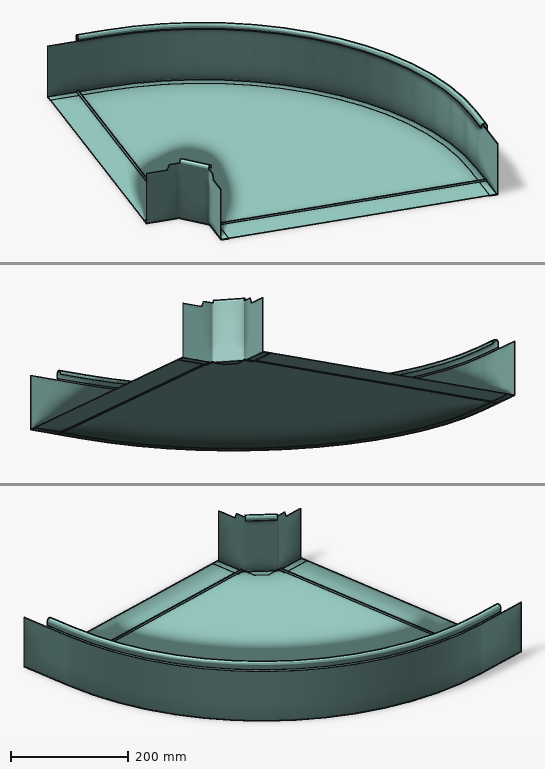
import cadquery as cq
import math


SIZE = 601.5
WIDTH = 503.0
ARM = 102.0
SHEET = 0.9
BEND = 2.5
FLANGE = 15.0
CROWN = 113.0
END_TOP = 97.5

RIM_RADIUS = 5.9
RIM_LIP = 2.5
RIM_SETBACK = 52.0
JOGGLE_RISE = 2.7
JOGGLE_SHIFT = 1.0

INNER_LEG = 58.5
CRANK_RADIUS = 3.0
STEP_FOOT = 37.0
STEP_HEAD = 41.0

RIDGE_AT = 54.0
RIDGE_RADIUS = 2.5

HALF_TURN = math.tan(math.radians(22.5))
TURN_RADIUS = SIZE - ARM
RIM_SPRING = CROWN - RIM_RADIUS
JOGGLE_TOP = END_TOP + JOGGLE_RISE
FLOOR_TOP = 2 * SHEET
LEG_FLAT = INNER_LEG - CRANK_RADIUS * HALF_TURN
CRANK_RUN = SIZE - WIDTH - INNER_LEG
CRANK_FLAT = CRANK_RUN * math.sqrt(2) - 2 * CRANK_RADIUS * HALF_TURN
TALL = 2 * CROWN


def mirrored(shape):
    """Image of a shape in the tray's symmetry plane."""
    return shape.mirror(cq.Vector(1, 1, 0), (SIZE / 2, SIZE / 2, 0))


def section_plane(origin, inward):
    """Upright plane whose local x points into the tray and local y points up."""
    x_dir = cq.Vector(*inward)
    return cq.Plane(origin, x_dir, x_dir.cross(cq.Vector(0, 0, 1)))


def bend_middle(radius):
    """Middle point of a bottom bend of this radius around the common bend centre."""
    reach = BEND - radius * math.sqrt(0.5)
    return (reach, reach)


def foot_outside(plane):
    """Start an outline along the flange underside and the outside of its bend."""
    return (
        cq.Workplane(plane)
        .moveTo(FLANGE, 0)
        .lineTo(BEND, 0)
        .threePointArc(bend_middle(BEND), (0, BEND))
    )


def foot_inside(outline):
    """Close an outline along the inside of the bend and the flange top."""
    return (
        outline.lineTo(SHEET, BEND)
        .threePointArc(bend_middle(BEND - SHEET), (BEND, SHEET))
        .lineTo(FLANGE, SHEET)
        .close()
    )


def rolled_rim(outline, face):
    """Continue an outline from (face, RIM_SPRING) over the roll and back along its inside."""
    centre = face + RIM_RADIUS
    far = face + 2 * RIM_RADIUS
    return (
        outline.threePointArc((centre, CROWN), (far, RIM_SPRING))
        .lineTo(far, RIM_SPRING - RIM_LIP)
        .lineTo(far - SHEET, RIM_SPRING - RIM_LIP)
        .lineTo(far - SHEET, RIM_SPRING)
        .threePointArc((centre, CROWN - SHEET), (face + SHEET, RIM_SPRING))
    )


def outer_section(plane):
    """Flange, wall, joggle and rolled rim of the outer wall."""
    drop = SHEET * math.tan(math.atan2(JOGGLE_SHIFT, JOGGLE_RISE) / 2)
    outside = (
        foot_outside(plane)
        .lineTo(0, END_TOP)
        .lineTo(JOGGLE_SHIFT, JOGGLE_TOP)
        .lineTo(JOGGLE_SHIFT, RIM_SPRING)
    )
    inside = (
        rolled_rim(outside, JOGGLE_SHIFT)
        .lineTo(JOGGLE_SHIFT + SHEET, JOGGLE_TOP - drop)
        .lineTo(SHEET, END_TOP - drop)
    )
    return foot_inside(inside)


def make_outer_wall():
    leg_end = section_plane((0, ARM, 0), (1, 0, 0))
    leg = outer_section(leg_end).extrude(ARM)
    curve = outer_section(leg_end).revolve(90, (TURN_RADIUS, 6), (TURN_RADIUS, 0))
    wall = leg.union(curve).union(mirrored(leg))

    end_cut = (
        cq.Workplane()
        .workplane(offset=END_TOP)
        .rect(ARM, RIM_SETBACK, centered=False)
        .extrude(TALL)
    )
    return wall.cut(end_cut).cut(mirrored(end_cut))


def tray_block(inset, bottom, top):
    """Block over the tray's plan, kept inside the wall faces by inset."""
    right = WIDTH - inset
    front = SIZE - right
    corner = INNER_LEG + inset * HALF_TURN
    radius = TURN_RADIUS - inset
    arc_middle = (TURN_RADIUS - radius * math.sqrt(0.5), ARM + radius * math.sqrt(0.5))
    block = (
        cq.Workplane()
        .workplane(offset=bottom)
        .moveTo(inset, 0)
        .lineTo(right, 0)
        .lineTo(right, corner)
        .lineTo(SIZE - corner, front)
        .lineTo(SIZE, front)
        .lineTo(SIZE, SIZE - inset)
        .lineTo(TURN_RADIUS, SIZE - inset)
        .threePointArc(arc_middle, (inset, ARM))
        .close()
        .extrude(top - bottom)
    )
    middle = (bottom + top) / 2
    near_edge = block.edges(cq.selectors.NearestToPointSelector((right, corner, middle)))
    far_edge = block.edges(cq.selectors.NearestToPointSelector((SIZE - corner, front, middle)))
    return near_edge.add(far_edge).fillet(CRANK_RADIUS + inset)


def inner_web():
    """Upright cranked sheet, stepped down at both tray ends."""
    skin = tray_block(0, BEND, RIM_SPRING).cut(tray_block(SHEET, BEND, RIM_SPRING))
    near_half = (
        cq.Workplane("XY", origin=(WIDTH - FLANGE, 0, 0))
        .rect(SIZE, SIZE - WIDTH + FLANGE, centered=False)
        .extrude(TALL)
    )
    web = skin.intersect(near_half.union(mirrored(near_half)))

    end_step = (
        cq.Workplane("YZ", origin=(WIDTH - FLANGE, 0, 0))
        .moveTo(0, END_TOP)
        .lineTo(STEP_FOOT, END_TOP)
        .lineTo(STEP_HEAD, RIM_SPRING)
        .lineTo(0, RIM_SPRING)
        .close()
        .extrude(2 * FLANGE)
    )
    return web.cut(end_step).cut(mirrored(end_step))


def inner_foot(plane):
    """Outline of a bottom bend with its flange."""
    return foot_inside(foot_outside(plane))


def make_inner_wall():
    leg_plane = section_plane((WIDTH, 0, 0), (-1, 0, 0))
    leg_foot = inner_foot(leg_plane).extrude(LEG_FLAT)

    crank_middle = (WIDTH + CRANK_RUN / 2, INNER_LEG + CRANK_RUN / 2, 0)
    crank_plane = section_plane(crank_middle, (-1, 1, 0))
    half = CRANK_FLAT / 2
    flange_limit = (
        cq.Workplane(cq.Plane(crank_middle, (-1, 1, 0)))
        .polyline([(0, -half), (half, 0), (0, half)])
        .close()
        .extrude(TALL)
    )
    crank_foot = inner_foot(crank_plane).extrude(half, both=True).intersect(flange_limit)
    rim_start = cq.Workplane(crank_plane).moveTo(0, RIM_SPRING)
    crank_rim = rolled_rim(rim_start, 0).close().extrude(half, both=True)

    wall = inner_web().union(leg_foot).union(mirrored(leg_foot))
    return wall.union(crank_foot).union(crank_rim)


def ridge_bar(radius):
    """Round bar across the near arm, centred on the top face of the floor."""
    bar = cq.Workplane("YZ", origin=(BEND, RIDGE_AT, FLOOR_TOP)).circle(radius)
    return bar.extrude(WIDTH - 2 * BEND)


def make_floor():
    floor = tray_block(BEND, SHEET, FLOOR_TOP)
    above_floor = cq.Workplane().workplane(offset=FLOOR_TOP).rect(2 * SIZE, 2 * SIZE).extrude(TALL)
    ridge = ridge_bar(RIDGE_RADIUS).intersect(above_floor)
    hollow = ridge_bar(RIDGE_RADIUS - SHEET)
    floor = floor.union(ridge).union(mirrored(ridge))
    return floor.cut(hollow).cut(mirrored(hollow))


outer_wall = make_outer_wall()
inner_wall = make_inner_wall()
floor_plate = make_floor()

result = cq.Compound.makeCompound([outer_wall.val(), inner_wall.val(), floor_plate.val()])